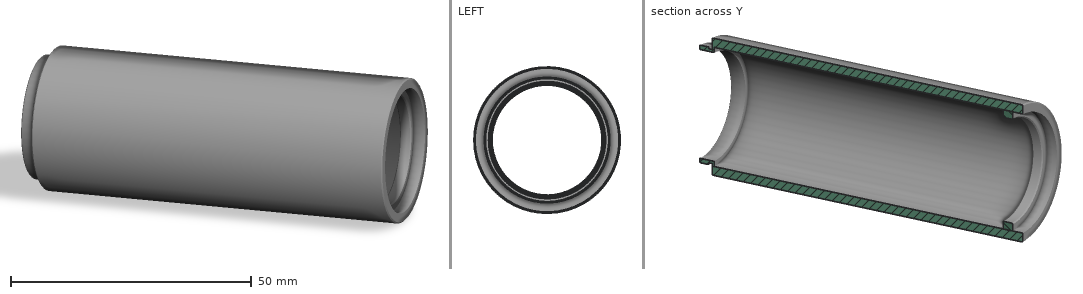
import cadquery as cq

overall_length = 80.01
tube_diameter = 30.48
tube_edge_chamfer = 0.25

lip_diameter = 26.16
lip_length = 3.05
lip_edge_chamfer = 0.25
groove_diameter = 25.38
groove_width = 0.75

mouth_diameter = 24.0
mouth_length = 3.7
mouth_chamfer = 0.2
bore_diameter = 26.29

ring_inner_diameter = 22.91
ring_thickness = 2.5
ring_setback = 2.5
ring_edge_chamfer = 0.25


def cylinder(diameter, start, length):
    """Solid cylinder on the X axis, running from x = start towards +X."""
    return cq.Workplane("YZ").workplane(offset=start).circle(diameter / 2).extrude(length)


def make_tube():
    barrel = cylinder(tube_diameter, lip_length, overall_length - lip_length)
    barrel = barrel.faces("<X or >X").chamfer(tube_edge_chamfer)

    lip = cylinder(lip_diameter, 0, lip_length - groove_width)
    lip = lip.faces("<X").chamfer(lip_edge_chamfer)
    groove_core = cylinder(groove_diameter, lip_length - groove_width, groove_width)
    body = barrel.union(groove_core).union(lip)

    mouth = cylinder(mouth_diameter, 0, mouth_length)
    bore = cylinder(bore_diameter, mouth_length, overall_length - mouth_length)
    body = body.cut(mouth).cut(bore)
    mouth_edge = cq.selectors.RadiusNthSelector(0)
    return body.faces("<X").edges(mouth_edge).chamfer(mouth_chamfer)


def make_retaining_ring():
    start = overall_length - ring_setback - ring_thickness
    blank = cylinder(bore_diameter, start, ring_thickness)
    opening = cylinder(ring_inner_diameter, start, ring_thickness)
    ring = blank.cut(opening)
    inner_edge = cq.selectors.RadiusNthSelector(0)
    return ring.faces("<X or >X").edges(inner_edge).chamfer(ring_edge_chamfer)


tube = make_tube()
retaining_ring = make_retaining_ring()

result = cq.Compound.makeCompound([tube.val(), retaining_ring.val()])